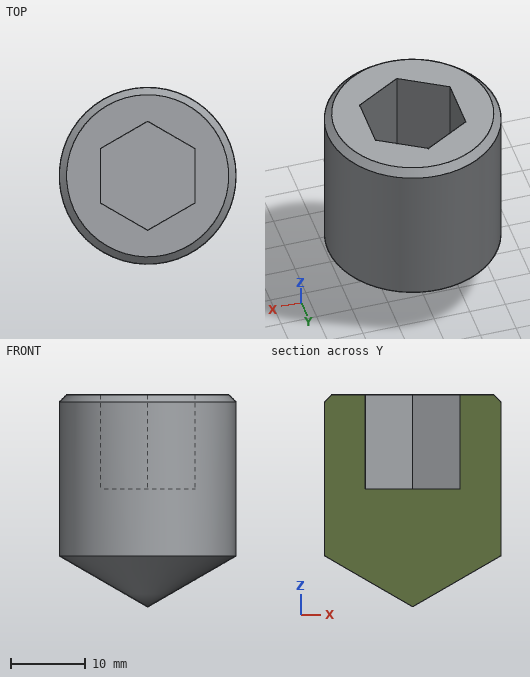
import cadquery as cq
import math

diameter = 23.8125
overall_length = 28.575
point_angle = 120.0
chamfer = 1.0
socket_across_flats = 12.7
socket_depth = 12.7
socket_sides = 6

radius = diameter / 2
point_length = radius / math.tan(math.radians(point_angle / 2))
socket_across_corners = socket_across_flats / math.cos(math.pi / socket_sides)


def make_body():
    """Revolve the half profile: cone point, cylinder and chamfered end."""
    return (
        cq.Workplane("XZ")
        .moveTo(0, 0)
        .lineTo(radius, point_length)
        .lineTo(radius, overall_length - chamfer)
        .lineTo(radius - chamfer, overall_length)
        .lineTo(0, overall_length)
        .close()
        .revolve(360, (0, 0, 0), (0, 1, 0))
    )


def make_socket():
    """Hexagonal drive socket with two corners on the Y axis."""
    return (
        cq.Workplane("XY")
        .workplane(offset=overall_length - socket_depth)
        .polygon(socket_sides, socket_across_corners)
        .extrude(socket_depth)
        .rotate((0, 0, 0), (0, 0, 1), 90)
    )


result = make_body().cut(make_socket())